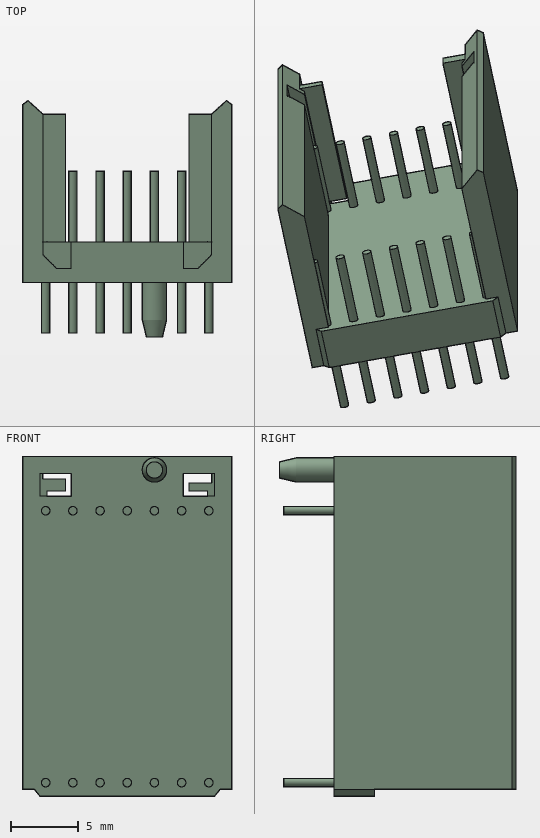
import cadquery as cq

width = 15.4
height = 25.0
floor_thickness = 3.0
lip_height = 0.5
lip_half_width = 6.82
lip_chamfer = 0.4

half_width = width / 2
wall_inner_x = 6.2
lower_wall_inner_x = 5.9
wall_shoulder_y = 13.1
wall_peak_y = 13.4
wall_peak_inset = 0.4
lead_in_end_y = 12.4

rail_inner_x = 4.52
rail_bottom_z = 22.45
left_rail_thickness = 0.9
right_rail_thickness = 0.6

window_outer_x = 6.4
window_inner_x = 4.12
window_bottom_z = 22.08
window_top_z = 23.72
notch_bottom_y = 1.05
notch_chamfer = 1.0

pins_per_row = 7
pin_pitch = 2.0
pin_diameter = 0.62
pin_outer_length = 3.7
pin_tip_y = 8.2
row_heights = (1.0, 21.0)

groove_half_height = 0.9
groove_outer_x = 7.0
groove_bottom_z = row_heights[1] - groove_half_height

post_x = pin_pitch
post_z = 24.0
post_radius = 0.9
post_tip_radius = 0.6
post_length = 4.0
post_cone_length = 1.25


def box(x_range, y_range, z_range):
    """Block spanning the given (start, end) ranges."""
    sizes = [end - start for start, end in (x_range, y_range, z_range)]
    corner = (x_range[0], y_range[0], z_range[0])
    return cq.Workplane("XY").box(*sizes, centered=False).translate(corner)


def prism(points, bottom_z, top_z):
    """Outline in XY extruded from bottom_z up to top_z."""
    return cq.Workplane("XY").workplane(offset=bottom_z).polyline(points).close().extrude(top_z - bottom_z)


def rod(x, z, radius, start_y, end_y):
    """Round bar running along Y."""
    axis = cq.Vector(0, 1, 0)
    return cq.Workplane(cq.Solid.makeCylinder(radius, end_y - start_y, cq.Vector(x, start_y, z), axis))


def floor():
    plate = box((-half_width, half_width), (0, floor_thickness), (lip_height, height))
    lip_bottom = lip_half_width - lip_chamfer
    lip = (
        cq.Workplane("XZ")
        .polyline([
            (-lip_half_width, lip_height),
            (-lip_bottom, 0),
            (lip_bottom, 0),
            (lip_half_width, lip_height),
        ])
        .close()
        .extrude(-floor_thickness)
    )
    return plate.union(lip)


def right_wall():
    """Guide wall on +X: thinner above the rail, grooved beside the end pin."""
    peak_x = half_width - wall_peak_inset
    outer_points = [(half_width, 0), (half_width, wall_shoulder_y), (peak_x, wall_peak_y)]
    slope = (wall_peak_y - lead_in_end_y) / (peak_x - wall_inner_x)
    lower_end_y = lead_in_end_y - slope * (wall_inner_x - lower_wall_inner_x)
    upper = outer_points + [(wall_inner_x, lead_in_end_y), (wall_inner_x, 0)]
    lower = outer_points + [(lower_wall_inner_x, lower_end_y), (lower_wall_inner_x, 0)]
    groove = box(
        (lower_wall_inner_x, groove_outer_x),
        (floor_thickness, wall_peak_y),
        (groove_bottom_z, groove_bottom_z + 2 * groove_half_height),
    )
    wall = prism(upper, rail_bottom_z, height).union(prism(lower, lip_height, rail_bottom_z))
    return wall.cut(groove)


def right_rail(thickness):
    return box(
        (rail_inner_x, wall_inner_x),
        (floor_thickness, lead_in_end_y),
        (rail_bottom_z, rail_bottom_z + thickness),
    )


def right_window():
    """Rectangular window through the floor plus the chamfered notch above it."""
    window = box(
        (window_inner_x, window_outer_x), (0, floor_thickness), (window_bottom_z, window_top_z)
    )
    notch = prism(
        [
            (window_inner_x, notch_bottom_y),
            (wall_inner_x - notch_chamfer, notch_bottom_y),
            (wall_inner_x, notch_bottom_y + notch_chamfer),
            (wall_inner_x, floor_thickness),
            (window_inner_x, floor_thickness),
        ],
        window_bottom_z,
        height,
    )
    return window.union(notch)


def post():
    cone_start_y = post_cone_length - post_length
    shank = rod(post_x, post_z, post_radius, cone_start_y, floor_thickness / 2)
    cone = cq.Solid.makeCone(
        post_radius,
        post_tip_radius,
        post_cone_length,
        cq.Vector(post_x, cone_start_y, post_z),
        cq.Vector(0, -1, 0),
    )
    return shank.union(cq.Workplane(cone))


result = floor().union(right_wall()).union(right_wall().mirror("YZ"))
result = result.cut(right_window()).cut(right_window().mirror("YZ"))
result = result.union(right_rail(right_rail_thickness))
result = result.union(right_rail(left_rail_thickness).mirror("YZ"))
result = result.union(post())

for row_z in row_heights:
    for index in range(pins_per_row):
        pin_x = (index - (pins_per_row - 1) / 2) * pin_pitch
        result = result.union(rod(pin_x, row_z, pin_diameter / 2, -pin_outer_length, pin_tip_y))